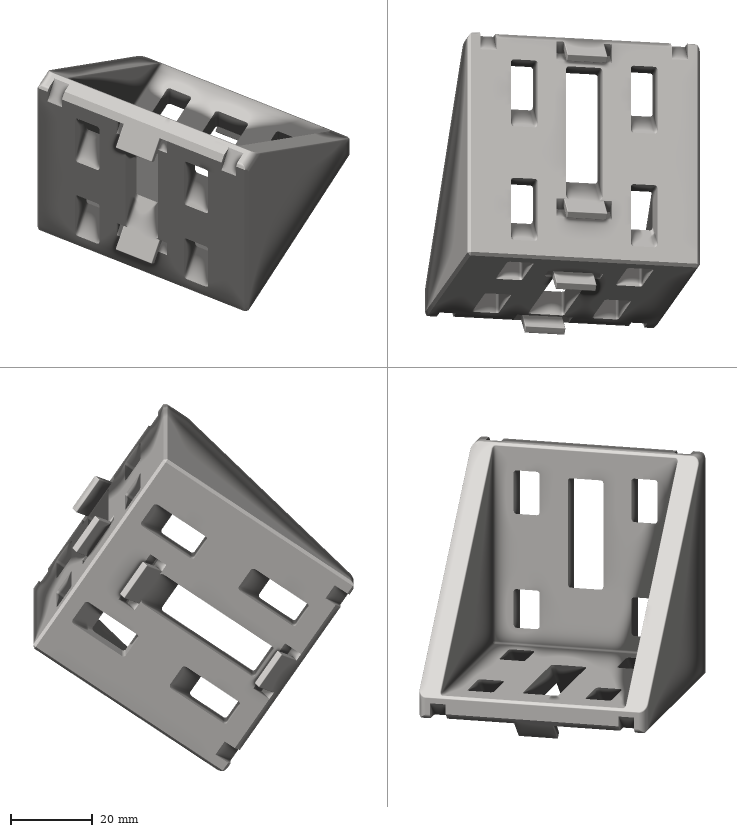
import cadquery as cq
import math

LENGTH = 61.35
WIDTH = 58.0
TONGUE_REACH = 4.35
SIDE = LENGTH - TONGUE_REACH
PLATE = 6.0
LIP = 5.4

END_ROUND = 2.0
EDGE_CHAMFER = 0.75
FREE_EDGE_FILLET = 1.0
SLOPE_FILLET = 0.3

HOLLOW_WIDTH = 46.85
HOLLOW_FILLET = 0.6

SLOT_WIDTH = 6.6
SLOT_OFFSET = 14.95
SLOT_SPANS = [(10.35, 20.2), (39.3, 50.35)]
WINDOW_WIDTH = 9.0
WINDOW_TOP = 49.3
SLOT_FILLET = 0.75

TONGUE_WIDTH = 10.0
TONGUE_THICKNESS = 1.9
TONGUE_FILLET = 0.2
TONGUE_PITCH = 40.0
UPPER_ROOT = 55.5
LOWER_ROOT = UPPER_ROOT - TONGUE_PITCH
RELIEF_WIDTH = 13.8
TONGUE_OVERLAP = 0.6
RELIEF_HEIGHT = 4.8
UPPER_RELIEF_DEPTH = 2.35
LOWER_RELIEF_DEPTH = 2.15

NOTCH_WIDTH = 4.0
NOTCH_OFFSET = 23.9
NOTCH_HEIGHT = 4.5
NOTCH_DEPTH = 4.0
EDGE_BEVEL = SIDE - UPPER_ROOT


def prism(points, width, x=0.0):
    """Prism along X, centred on x, from (y, z) points."""
    return cq.Workplane("YZ").polyline(points).close().extrude(width / 2, both=True).translate((x, 0, 0))


def mirrored(shape):
    """Mirror image in the plane Y = Z, which swaps the two plates."""
    return shape.mirror((0, 1, -1))


def rounded_silhouette():
    """Outline of the front plate with round top corners, swept along Y."""
    block = cq.Workplane("XZ").rect(WIDTH, SIDE).extrude(-SIDE).translate((0, 0, SIDE / 2))
    return block.faces(">Z").edges("|Y").fillet(END_ROUND)


def body():
    """Hollow wedge with all its outer and inner edges finished."""
    outline = [(0, 0), (SIDE, 0), (SIDE, LIP), (LIP, SIDE), (0, SIDE)]
    block = prism(outline, WIDTH).faces("<Y or <Z").edges().chamfer(EDGE_CHAMFER)
    block = block.faces(">Z").edges("<Y").fillet(FREE_EDGE_FILLET)
    block = block.faces(">Y").edges("<Z").fillet(FREE_EDGE_FILLET)
    block = block.intersect(rounded_silhouette()).intersect(mirrored(rounded_silhouette()))
    block = block.cut(hollow())
    sloping_face = cq.selectors.DirectionMinMaxSelector(cq.Vector(0, 1, 1))
    return block.faces(sloping_face).edges().fillet(SLOPE_FILLET)


def hollow():
    """Space between the side walls, open at the sloping face."""
    outline = [(PLATE, PLATE), (LENGTH, PLATE), (LENGTH, LENGTH), (PLATE, LENGTH)]
    block = prism(outline, HOLLOW_WIDTH)
    return block.edges("(<Y and |Z) or (<Z and |Y) or (<Y and <Z)").fillet(HOLLOW_FILLET)


def slot(bottom, top, width, x=0.0):
    """Slot in the front plate; its lower end rises inwards at 45 degrees."""
    outline = [(0, bottom - PLATE), (PLATE, bottom), (PLATE, top), (0, top)]
    return prism(outline, width, x).edges("not (|X or |Z or <Y or >Y)").fillet(SLOT_FILLET)


def slots():
    cutters = slot(LOWER_ROOT + PLATE, WINDOW_TOP, WINDOW_WIDTH)
    for x in (-SLOT_OFFSET, SLOT_OFFSET):
        for bottom, top in SLOT_SPANS:
            cutters = cutters.union(slot(bottom, top, SLOT_WIDTH, x))
    return cutters


def edge_cuts():
    """Bevel and two notches along the top edge of the front plate."""
    def wedge(height, depth, width, x=0.0):
        return prism([(0, SIDE - height), (0, SIDE), (depth, SIDE)], width, x)

    cutters = wedge(EDGE_BEVEL, EDGE_BEVEL, 2 * NOTCH_OFFSET)
    for x in (-NOTCH_OFFSET, NOTCH_OFFSET):
        cutters = cutters.union(wedge(NOTCH_HEIGHT, NOTCH_DEPTH, NOTCH_WIDTH, x))
    return cutters


def relief(root, depth):
    """V-shaped groove with 45 degree sides and a narrow flat bottom, below a tongue's root."""
    outline = [
        (0, root),
        (depth, root - depth),
        (depth, root - RELIEF_HEIGHT + depth),
        (0, root - RELIEF_HEIGHT),
    ]
    return prism(outline, RELIEF_WIDTH)


def tongue(root):
    """Tongue whose top side meets the plate surface at the height root."""
    drop = TONGUE_THICKNESS / math.sqrt(2)
    sharp_reach = TONGUE_REACH + TONGUE_FILLET * (math.sqrt(2) - 1)
    outline = [
        (TONGUE_OVERLAP, root + TONGUE_OVERLAP),
        (-sharp_reach, root - sharp_reach),
        (drop - sharp_reach, root - sharp_reach - drop),
        (drop + TONGUE_OVERLAP, root + TONGUE_OVERLAP - drop),
    ]
    return prism(outline, TONGUE_WIDTH).edges("not >Y").fillet(TONGUE_FILLET)


plate_cuts = slots().union(edge_cuts())
tongues = cq.Workplane()
for root, depth in ((UPPER_ROOT, UPPER_RELIEF_DEPTH), (LOWER_ROOT, LOWER_RELIEF_DEPTH)):
    plate_cuts = plate_cuts.union(relief(root, depth))
    tongues = tongues.add(tongue(root))
tongues = tongues.combine()

result = body().cut(plate_cuts).cut(mirrored(plate_cuts))
result = result.union(tongues).union(mirrored(tongues))